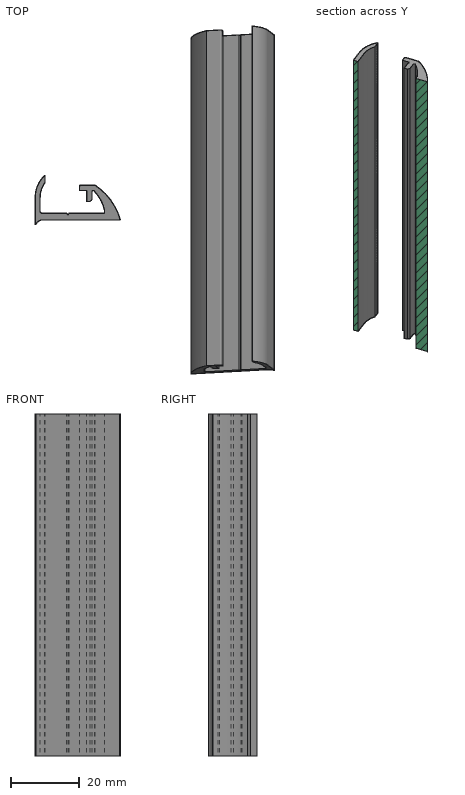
import cadquery as cq
import math

length = 100.0
width = 24.91
height = 14.29

floor_thickness = 2.0
corner_radius = 0.5
groove_x = 9.55
groove_width = 0.7
groove_depth = 0.5

lip_depth = 1.3
lip_tip_width = 0.2
lip_blend_end_x = 2.3

wall_thickness = 1.5
wall_top_y = height - lip_depth
curl_start_y = 6.6
curl_outer_radius = 8.8
curl_inner_radius = curl_outer_radius - wall_thickness
curl_tip_flat = 0.2

bow_top_x = 17.5
bow_outer_mid = (21.6, 6.45)
tip_bevel_width = 0.3
tip_bevel_height = 0.1
cavity_right_x = 20.2
bow_inner_start_y = 3.0
bow_inner_mid = (19.2, 5.7)

hook_top_y = 10.2
hook_left_x = 12.95
hook_thickness = 1.6
hook_corner_radius = 0.4
hook_bottom_y = hook_top_y - hook_thickness
stem_left_x = 15.05
stem_width = 1.6
stem_bottom_y = 5.4
stem_chamfer = 0.6
stem_right_x = stem_left_x + stem_width
slot_width = 0.75
slot_side_y = hook_bottom_y - slot_width / 2


def curl_point(radius, angle):
    """Point on a curl arc, with the angle measured up from the wall's left tangent point."""
    x = curl_outer_radius - radius * math.cos(angle)
    y = curl_start_y + radius * math.sin(angle)
    return (x, y)


def make_profile():
    """Closed cross-section of the extrusion in the XY plane."""
    outer_angle = math.asin((wall_top_y - curl_start_y) / curl_outer_radius)
    curl_tip = curl_point(curl_outer_radius, outer_angle)
    inner_tip_x = curl_tip[0] + curl_tip_flat
    inner_angle = math.acos((curl_outer_radius - inner_tip_x) / curl_inner_radius)
    slot_middle = (stem_right_x + slot_width / 2, hook_bottom_y)
    lip_run = lip_blend_end_x - lip_tip_width
    lip_radius = (lip_run**2 + lip_depth**2) / (2 * lip_depth)
    lip_half_angle = math.atan(lip_depth / lip_run)
    lip_middle = (
        lip_blend_end_x - lip_radius * math.sin(lip_half_angle),
        -lip_radius * (1 - math.cos(lip_half_angle)),
    )

    return (
        cq.Workplane("XY")
        .moveTo(lip_tip_width, -lip_depth)
        .lineTo(0, -lip_depth)
        .lineTo(0, curl_start_y)
        .threePointArc(curl_point(curl_outer_radius, outer_angle / 2), curl_tip)
        .lineTo(inner_tip_x, wall_top_y)
        .lineTo(*curl_point(curl_inner_radius, inner_angle))
        .threePointArc(
            curl_point(curl_inner_radius, inner_angle / 2),
            (wall_thickness, curl_start_y),
        )
        .lineTo(wall_thickness, floor_thickness)
        .lineTo(groove_x - groove_width / 2, floor_thickness)
        .lineTo(groove_x, floor_thickness - groove_depth)
        .lineTo(groove_x + groove_width / 2, floor_thickness)
        .lineTo(cavity_right_x, floor_thickness)
        .lineTo(cavity_right_x, bow_inner_start_y)
        .threePointArc(bow_inner_mid, (stem_right_x + slot_width, slot_side_y))
        .threePointArc(slot_middle, (stem_right_x, slot_side_y))
        .lineTo(stem_right_x, stem_bottom_y + stem_chamfer)
        .lineTo(stem_right_x - stem_chamfer, stem_bottom_y)
        .lineTo(stem_left_x, stem_bottom_y)
        .lineTo(stem_left_x, hook_bottom_y)
        .lineTo(hook_left_x, hook_bottom_y)
        .lineTo(hook_left_x, hook_top_y)
        .lineTo(bow_top_x, hook_top_y)
        .threePointArc(bow_outer_mid, (width, tip_bevel_height))
        .lineTo(width - tip_bevel_width, 0)
        .lineTo(lip_blend_end_x, 0)
        .threePointArc(lip_middle, (lip_tip_width, -lip_depth))
        .close()
    )


def round_edge_at(body, x, y, radius):
    """Fillet the lengthwise edge that passes through (x, y)."""
    nearest = cq.selectors.NearestToPointSelector((x, y, length / 2))
    return body.edges("|Z").edges(nearest).fillet(radius)


result = make_profile().extrude(length)
result = round_edge_at(result, wall_thickness, floor_thickness, corner_radius)
result = round_edge_at(result, hook_left_x, hook_top_y, hook_corner_radius)